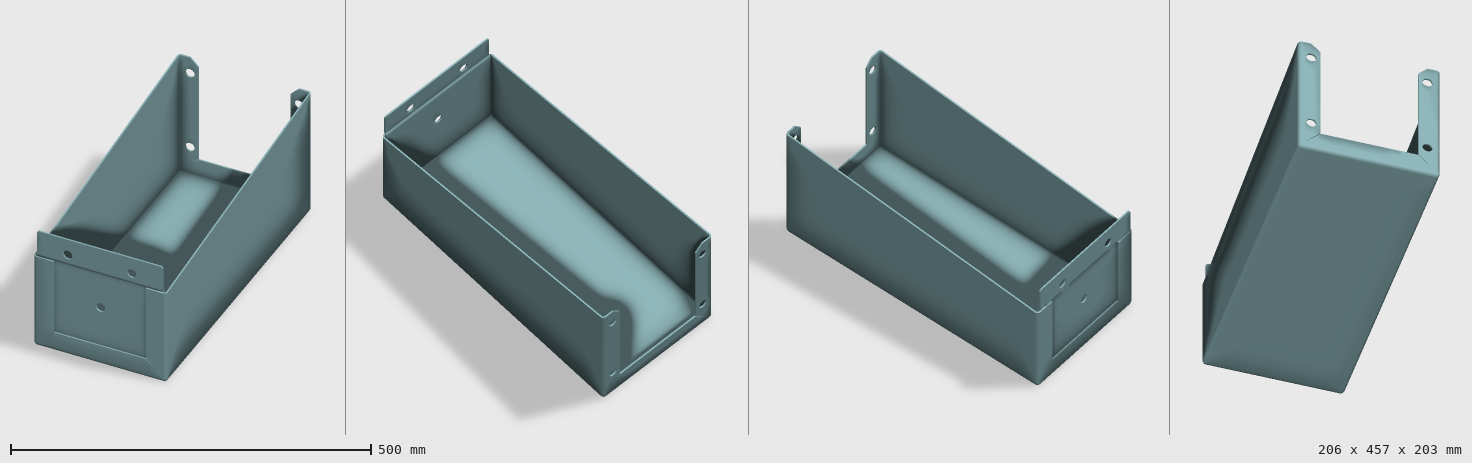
import cadquery as cq
import math

WIDTH = 206.0
LENGTH = 457.0
REAR_HEIGHT = 203.0
FRONT_HEIGHT = 152.5

SHEET = 2.5
BEND_RADIUS = 5.5
INNER_RADIUS = BEND_RADIUS - SHEET
HOLE_DIAMETER = 14.0

FLANGE_WIDTH = 31.5
MITRE_GAP = 0.5
REAR_CHAMFER = 13.0
REAR_HOLE_INSET = 18.7
REAR_HOLE_HEIGHTS = (49.5, 176.0)

PLATE_WIDTH = WIDTH - 2 * BEND_RADIUS
PLATE_TOP = 197.5
PLATE_CORNER_RADIUS = 4.0
JOG_TOP = 156.5
CENTRE_HOLE_HEIGHT = 95.5
TAB_HOLE_HEIGHT = 171.5
TAB_HOLE_SPACING = 99.0


def rounded_block(inset, radius):
    """Block inset from the tray's outside, with its bottom and upright edges rounded."""
    return (
        cq.Workplane("XY", origin=(0, LENGTH / 2, inset))
        .rect(WIDTH - 2 * inset, LENGTH - 2 * inset)
        .extrude(REAR_HEIGHT)
        .edges("|Z or <Z")
        .fillet(radius)
    )


def holes_along_y(centres, start, depth):
    """Round cutters running towards +Y from Y = start, at (x, z) centres."""
    return (
        cq.Workplane("XZ", origin=(0, start, 0))
        .pushPoints(centres)
        .circle(HOLE_DIAMETER / 2)
        .extrude(-depth)
    )


def end_opening(start, corner_chamfer):
    """Cutter for the window between the flanges, open at the top, in the wall from Y = start."""
    half = WIDTH / 2 - FLANGE_WIDTH
    window_height = REAR_HEIGHT - FLANGE_WIDTH
    window = (
        cq.Workplane("XY", origin=(0, start + SHEET / 2, FLANGE_WIDTH))
        .box(2 * half, SHEET, window_height, centered=(True, True, False))
    )
    if corner_chamfer == 0:
        return window
    corners = (
        cq.Workplane("XZ", origin=(0, start, 0))
        .moveTo(-half - corner_chamfer, REAR_HEIGHT)
        .lineTo(half + corner_chamfer, REAR_HEIGHT)
        .lineTo(half, REAR_HEIGHT - corner_chamfer)
        .lineTo(-half, REAR_HEIGHT - corner_chamfer)
        .close()
        .extrude(-SHEET)
    )
    return window.union(corners)


def mitre_slot(start, side):
    """Thin diagonal cutter between the bottom flange and one side flange."""
    bend_x = WIDTH / 2 - BEND_RADIUS
    inner_x = WIDTH / 2 - FLANGE_WIDTH
    half_gap = MITRE_GAP / math.sqrt(2)
    return (
        cq.Workplane("XZ", origin=(0, start, 0))
        .moveTo(side * bend_x, BEND_RADIUS)
        .lineTo(side * (inner_x + half_gap), FLANGE_WIDTH + half_gap)
        .lineTo(side * (inner_x - half_gap), FLANGE_WIDTH + half_gap)
        .lineTo(side * (inner_x - half_gap), FLANGE_WIDTH - half_gap)
        .close()
        .extrude(-SHEET)
    )


def make_tray():
    tray = rounded_block(0, BEND_RADIUS).cut(rounded_block(SHEET, INNER_RADIUS))

    above_slope = (
        cq.Workplane("YZ", origin=(-WIDTH / 2, 0, 0))
        .moveTo(0, FRONT_HEIGHT)
        .lineTo(LENGTH, REAR_HEIGHT)
        .lineTo(0, REAR_HEIGHT)
        .close()
        .extrude(WIDTH)
    )
    tray = tray.cut(above_slope)

    rear_start = LENGTH - SHEET
    for start, chamfer in ((0, 0), (rear_start, REAR_CHAMFER)):
        tray = tray.cut(end_opening(start, chamfer))
        for side in (-1, 1):
            tray = tray.cut(mitre_slot(start, side))

    hole_x = WIDTH / 2 - REAR_HOLE_INSET
    centres = [(side * hole_x, z) for side in (-1, 1) for z in REAR_HOLE_HEIGHTS]
    return tray.cut(holes_along_y(centres, rear_start, SHEET))


def round_jog_bend(plate, y, z, radius):
    """Round the edge along X that passes through (y, z)."""
    return plate.edges(cq.NearestToPointSelector((0, y, z))).fillet(radius)


def make_front_plate():
    bend_shift = SHEET * math.tan(math.radians(22.5))
    jog_bottom = JOG_TOP - SHEET
    plate = (
        cq.Workplane("YZ", origin=(-PLATE_WIDTH / 2, 0, 0))
        .moveTo(SHEET, BEND_RADIUS)
        .lineTo(SHEET, jog_bottom)
        .lineTo(0, JOG_TOP)
        .lineTo(0, PLATE_TOP)
        .lineTo(SHEET, PLATE_TOP)
        .lineTo(SHEET, JOG_TOP + bend_shift)
        .lineTo(2 * SHEET, jog_bottom + bend_shift)
        .lineTo(2 * SHEET, BEND_RADIUS)
        .close()
        .extrude(PLATE_WIDTH)
    )
    plate = round_jog_bend(plate, SHEET, jog_bottom, INNER_RADIUS)
    plate = round_jog_bend(plate, 0, JOG_TOP, BEND_RADIUS)
    plate = round_jog_bend(plate, SHEET, JOG_TOP + bend_shift, INNER_RADIUS)
    plate = round_jog_bend(plate, 2 * SHEET, jog_bottom + bend_shift, BEND_RADIUS)
    plate = plate.faces(">Z").edges("|Y").fillet(PLATE_CORNER_RADIUS)

    centres = [(0, CENTRE_HOLE_HEIGHT)]
    centres += [(side * TAB_HOLE_SPACING / 2, TAB_HOLE_HEIGHT) for side in (-1, 1)]
    return plate.cut(holes_along_y(centres, 0, 2 * SHEET))


tray = make_tray()
front_plate = make_front_plate()
result = cq.Compound.makeCompound([tray.val(), front_plate.val()])